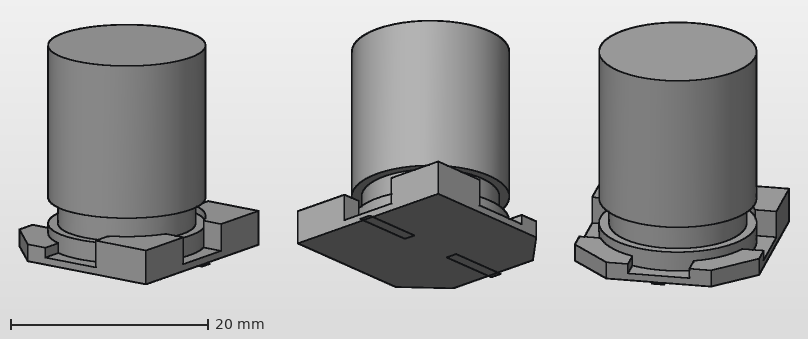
import cadquery as cq

total_height = 21.5
can_diameter = 16.0
neck_diameter = 14.0
neck_top = 5.5

base_side = 19.1
corner_cut = 4.13
floor_height = 0.75
seat_height = 2.8
low_corner_height = 1.78
high_corner_height = 2 * low_corner_height
channel_width = base_side / 3

lead_span = 20.0
lead_width = 1.3
lead_thickness = 0.01
lead_inner_end = channel_width / 2
lead_length = lead_span / 2 - lead_inner_end


def cylinder(diameter, bottom, top):
    """Upright cylinder on the Z axis."""
    return cq.Workplane("XY").workplane(offset=bottom).circle(diameter / 2).extrude(top - bottom)


def cutting_block(bottom, size_x, size_y, center_x=0):
    """Block that reaches from the given height up to the top of the high corners."""
    plane = cq.Workplane("XY").workplane(offset=bottom).center(center_x, 0)
    return plane.rect(size_x, size_y).extrude(high_corner_height - bottom)


def make_can():
    neck = cylinder(neck_diameter, seat_height, neck_top)
    head = cylinder(can_diameter, neck_top, total_height)
    return neck.union(head)


def make_lead(side):
    """Lead on the +X side (side = 1) or the -X side (side = -1)."""
    center_x = side * (lead_inner_end + lead_length / 2)
    return cq.Workplane("XY").center(center_x, 0).rect(lead_length, lead_width).extrude(lead_thickness)


def make_base(leads):
    base = cq.Workplane("XY").rect(base_side, base_side).extrude(high_corner_height)
    base = base.edges("|Z and <X").chamfer(corner_cut)

    base = base.cut(cutting_block(low_corner_height, base_side / 2, base_side, -base_side / 4))

    base = base.cut(cutting_block(floor_height, channel_width, base_side))
    base = base.cut(cutting_block(floor_height, base_side, channel_width))

    base = base.cut(cylinder(can_diameter, seat_height, high_corner_height))
    base = base.union(cylinder(can_diameter, 0, seat_height))

    for lead in leads:
        base = base.cut(lead)
    return base


can = make_can()
leads = [make_lead(side) for side in (-1, 1)]
base = make_base(leads)

result = cq.Compound.makeCompound([can.val(), base.val(), *[lead.val() for lead in leads]])